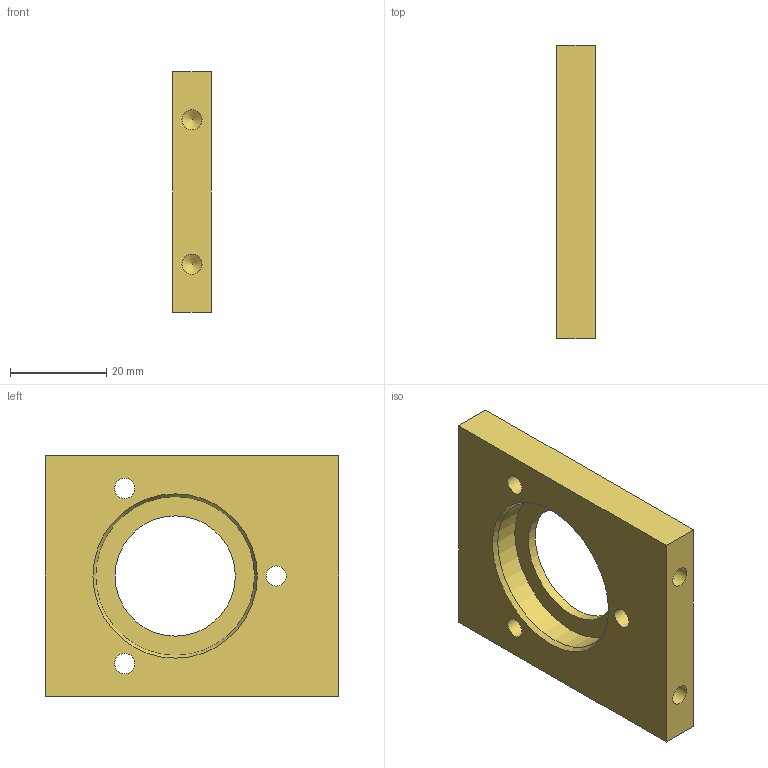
import cadquery as cq
import math

thickness = 8.0
length = 61.0
height = 50.0
front_x = -thickness / 2
near_y = -length / 2

bore_y = 3.5
through_diameter = 25.0
seat_diameter = 33.0
seat_depth = 6.0
chamfer_depth = 1.0
chamfer_angle = 30.0
chamfer_width = chamfer_depth * math.tan(math.radians(chamfer_angle))

screw_diameter = 4.2
screw_circle_radius = 21.0
screw_count = 3
first_screw_angle = 180.0

edge_hole_diameter = 4.2
edge_hole_spacing = 30.0
edge_hole_depth = 12.0
drill_point_angle = 118.0

ALONG_X = cq.Vector(1, 0, 0)


def cylinder_along_x(diameter, depth, y, z):
    """Cylinder running from the -X face of the plate into it."""
    return cq.Solid.makeCylinder(diameter / 2, depth, cq.Vector(front_x, y, z), ALONG_X)


def stepped_bore():
    """Through hole, wider seat and the chamfer at the mouth of the seat."""
    through = cylinder_along_x(through_diameter, thickness, bore_y, 0)
    seat = cylinder_along_x(seat_diameter, seat_depth, bore_y, 0)
    seat_radius = seat_diameter / 2
    mouth = cq.Solid.makeCone(
        seat_radius + chamfer_width,
        seat_radius,
        chamfer_depth,
        cq.Vector(front_x, bore_y, 0),
        ALONG_X,
    )
    return cq.Workplane(through).union(cq.Workplane(seat)).union(cq.Workplane(mouth))


def screw_hole(angle_degrees):
    """Through hole at the given angle on the screw circle, measured from +Y towards +Z."""
    angle = math.radians(angle_degrees)
    y = bore_y + screw_circle_radius * math.cos(angle)
    z = screw_circle_radius * math.sin(angle)
    return cq.Workplane(cylinder_along_x(screw_diameter, thickness, y, z))


def edge_hole(z):
    """Blind hole along +Y with a conical drill point."""
    radius = edge_hole_diameter / 2
    point_length = radius / math.tan(math.radians(drill_point_angle / 2))
    profile = (
        cq.Workplane("XY")
        .moveTo(0, near_y)
        .lineTo(radius, near_y)
        .lineTo(radius, near_y + edge_hole_depth)
        .lineTo(0, near_y + edge_hole_depth + point_length)
        .close()
    )
    return profile.revolve(360, (0, 0), (0, 1)).translate((0, 0, z))


result = cq.Workplane("XY").box(thickness, length, height)
result = result.cut(stepped_bore())

for index in range(screw_count):
    result = result.cut(screw_hole(first_screw_angle + index * 360 / screw_count))

for side in (-1, 1):
    result = result.cut(edge_hole(side * edge_hole_spacing / 2))